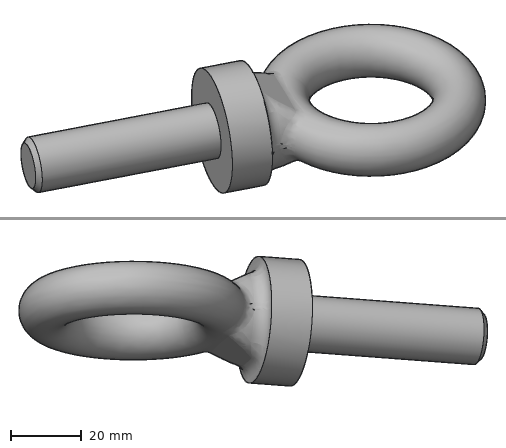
import cadquery as cq
import math

total_length = 134.9
ring_outer_diameter = 64.9
ring_bar_diameter = 15.0
collar_diameter = 36.0
collar_thickness = 12.0
shank_diameter = 16.0
shank_length = 54.9
shank_chamfer = 1.5

neck_radius = 14.0
neck_height = 13.5
neck_embed = 2.5
flat_angle = 30.0
flat_foot_offset = 13.8
flat_edge_radius = 4.0
collar_blend_radius = 3.9
ring_blend_radius = 4.0

neck_bottom = collar_thickness - neck_embed
neck_top = collar_thickness + neck_height
ring_center = total_length - shank_length - ring_outer_diameter / 2
ring_path_radius = (ring_outer_diameter - ring_bar_diameter) / 2
ring_bottom = ring_center - ring_outer_diameter / 2
selection_margin = 0.1


def make_ring():
    """Closed ring of round bar."""
    torus = cq.Solid.makeTorus(
        ring_path_radius,
        ring_bar_diameter / 2,
        cq.Vector(0, ring_center, 0),
        cq.Vector(0, 0, 1),
    )
    return cq.Workplane(obj=torus)


def make_bolt():
    """Round collar and plain shank with a chamfered tip."""
    collar = cq.Workplane("XZ").circle(collar_diameter / 2).extrude(-collar_thickness)
    shank = (
        cq.Workplane("XZ")
        .circle(shank_diameter / 2)
        .extrude(shank_length)
        .faces("<Y")
        .chamfer(shank_chamfer)
    )
    return collar.union(shank)


def flat_offset(y):
    """Distance of the sloping flats from the axis at height y."""
    return flat_foot_offset - (y - collar_thickness) * math.tan(math.radians(flat_angle))


def make_neck():
    """Round neck cut by a sloping flat on each Z side, with rounded flat edges."""
    column = (
        cq.Workplane("XZ", origin=(0, neck_bottom, 0))
        .circle(neck_radius)
        .extrude(neck_bottom - neck_top)
    )
    wedge = (
        cq.Workplane("YZ")
        .polyline(
            [
                (neck_bottom, -flat_offset(neck_bottom)),
                (neck_bottom, flat_offset(neck_bottom)),
                (neck_top, flat_offset(neck_top)),
                (neck_top, -flat_offset(neck_top)),
            ]
        )
        .close()
        .extrude(neck_radius, both=True)
    )
    return column.intersect(wedge).edges("%ELLIPSE").fillet(flat_edge_radius)


def blend_edges(body, y_low, y_high, radius):
    """Fillet the neck edges lying wholly between two Y levels."""
    reach = collar_diameter / 2 - selection_margin
    joint_edges = []
    for edge in body.edges().vals():
        box = edge.BoundingBox()
        inside_collar = box.xmin > -reach and box.xmax < reach
        if inside_collar and box.ymin > y_low and box.ymax < y_high:
            joint_edges.append(edge)
    return body.newObject(joint_edges).fillet(radius)


body = make_neck().union(make_ring()).union(make_bolt())

body = blend_edges(body, ring_bottom, neck_top - selection_margin, ring_blend_radius)
result = blend_edges(
    body,
    collar_thickness - selection_margin,
    collar_thickness + selection_margin,
    collar_blend_radius,
)